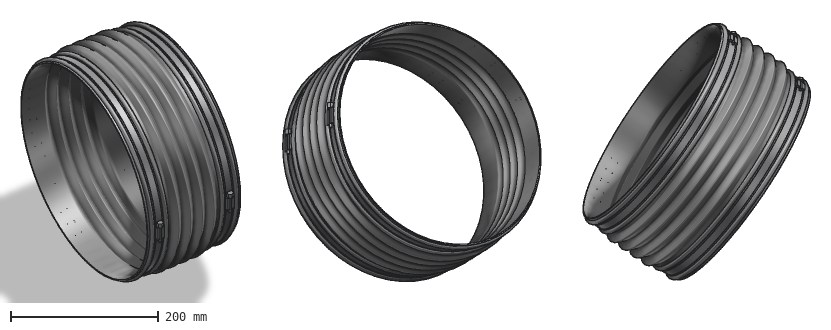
import cadquery as cq
import math

length = 150.0
peak_radius = 166.5
sleeve_radius = 159.5
wall = 2.0

fold_count = 4
fold_pitch = 19.0
peak_round = 2.3
valley_round = 1.0
root_round = 2.3

clamp_offset = 56.5
bead_spacing = 22.5
bead_round = 3.5
bead_half_angle = 120

band_width = 10.5
band_radius = 160.5
housing_width = 12.3
housing_height = 22.5
housing_reach = 163.0
head_radius = 5.0
head_reach = 166.5
head_height = 7.3
shank_radius = 2.0
screw_bottom = -16.3

DIAGONAL = math.sqrt(0.5)
peak_center_radius = peak_radius - peak_round
root_center_radius = sleeve_radius + root_round
last_peak = (fold_count - 1) * fold_pitch / 2
root_center_y = (
    last_peak + peak_center_radius - root_center_radius + (peak_round + root_round) / DIAGONAL
)


def revolve_about_axis(profile):
    return profile.revolve(360, (0, 0, 0), (0, 1, 0))


def on_circle(radius, y, round_radius, degrees):
    """Point on a profile round, with zero degrees pointing away from the sleeve axis."""
    angle = math.radians(degrees)
    return (radius + round_radius * math.cos(angle), y + round_radius * math.sin(angle))


def solid_to_surface(inset):
    """Solid of revolution bounded by the sleeve surface moved inward by inset."""
    peak_r = peak_round - inset
    root_r = root_round + inset
    valley_center_radius = peak_center_radius - fold_pitch / 2 + (peak_r + valley_round) / DIAGONAL

    profile = cq.Workplane("XY").moveTo(0, -length / 2).lineTo(sleeve_radius - inset, -length / 2)

    def add_round(radius, y, round_radius, start, end):
        nonlocal profile
        profile = profile.lineTo(*on_circle(radius, y, round_radius, start))
        profile = profile.threePointArc(
            on_circle(radius, y, round_radius, (start + end) / 2),
            on_circle(radius, y, round_radius, end),
        )

    add_round(root_center_radius, -root_center_y, root_r, 180, 135)
    for index in range(fold_count):
        peak_y = index * fold_pitch - last_peak
        add_round(peak_center_radius, peak_y, peak_r, -45, 45)
        if index < fold_count - 1:
            add_round(valley_center_radius, peak_y + fold_pitch / 2, valley_round, 225, 135)
    add_round(root_center_radius, root_center_y, root_r, 225, 180)
    profile = profile.lineTo(sleeve_radius - inset, length / 2).lineTo(0, length / 2).close()
    return revolve_about_axis(profile)


def make_bead(y):
    """Round bead whose flat inner side is buried in the wall."""
    start, middle, end = (
        on_circle(sleeve_radius, y, bead_round, angle) for angle in (-bead_half_angle, 0, bead_half_angle)
    )
    profile = cq.Workplane("XY").moveTo(*start).threePointArc(middle, end).close()
    return revolve_about_axis(profile)


def make_band(y):
    return cq.Workplane("XZ", origin=(0, y + band_width / 2, 0)).circle(band_radius).extrude(band_width)


def make_closure(y):
    """Screw housing on the band, with the hexagon-head screw running through it along Z."""
    seat = sleeve_radius - wall / 2
    housing = cq.Workplane("XY").box(
        housing_reach - seat, housing_width, housing_height, centered=(False, True, True)
    )
    head_bottom = housing_height / 2
    shank = (
        cq.Workplane("XY", origin=(head_reach - head_radius, y, screw_bottom))
        .circle(shank_radius)
        .extrude(head_bottom - screw_bottom)
    )
    head = shank.faces(">Z").workplane().polygon(6, 2 * head_radius).extrude(head_height, combine=False)
    return housing.translate((seat, y, 0)).union(shank).union(head)


result = solid_to_surface(0)
for clamp_y in (-clamp_offset, clamp_offset):
    for side in (-1, 1):
        result = result.union(make_bead(clamp_y + side * bead_spacing / 2))
    result = result.union(make_band(clamp_y)).union(make_closure(clamp_y))

result = result.cut(solid_to_surface(wall))